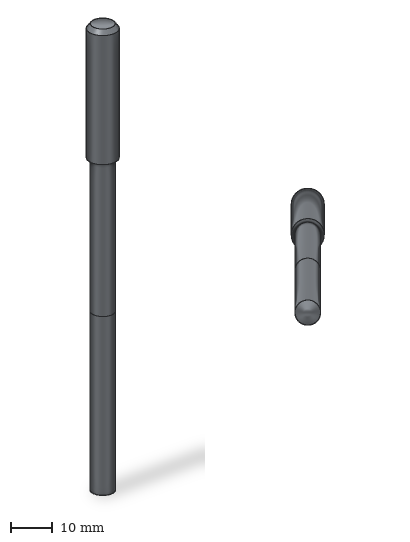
import cadquery as cq

overall_length = 126.0
shank_diameter = 8.0
stem_diameter = 6.2
shank_length = 35.9
chamfer_height = 1.3
chamfer_width = 1.0
cutter_length = 48.9
point_height = 0.9

shank_radius = shank_diameter / 2
stem_radius = stem_diameter / 2
shank_bottom = overall_length - shank_length


def make_cutter():
    """Lower round stem that ends in a shallow conical point."""
    profile = (
        cq.Workplane("XZ")
        .moveTo(0, 0)
        .lineTo(stem_radius, point_height)
        .lineTo(stem_radius, cutter_length)
        .lineTo(0, cutter_length)
        .close()
    )
    return profile.revolve(360, (0, 0), (0, 1))


def make_holder():
    """Thick shank with a chamfered top end, and the neck that reaches down to the cutter."""
    neck = (
        cq.Workplane("XY")
        .workplane(offset=cutter_length)
        .circle(stem_radius)
        .extrude(shank_bottom - cutter_length)
    )
    shank = (
        cq.Workplane("XY")
        .workplane(offset=shank_bottom)
        .circle(shank_radius)
        .extrude(shank_length)
        .faces(">Z")
        .chamfer(chamfer_height, chamfer_width)
    )
    return neck.union(shank)


cutter = make_cutter()
holder = make_holder()

result = cq.Compound.makeCompound([cutter.val(), holder.val()])